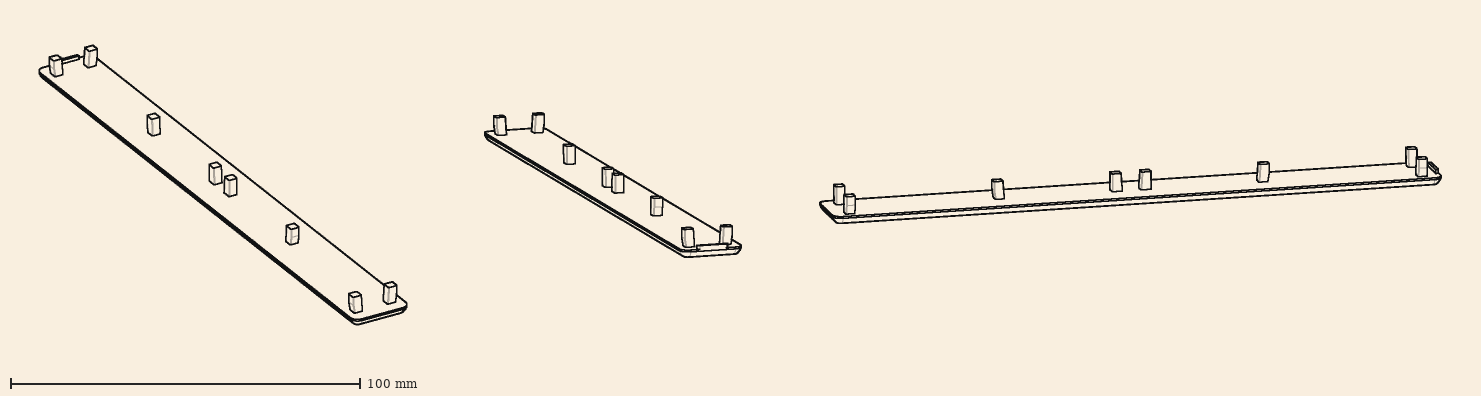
import cadquery as cq

length = 180.0
width = 18.5
plate_height = 2.3
corner_radius = 2.5
rim_height = 0.5
edge_inset = 1.3
edge_bulge = 0.16

total_height = 7.5
post_width = 2.7
hooked_base_depth = 2.7
plain_base_depth = 3.0
inner_draft = 0.4
hook_overhang = 0.45
hook_height = 5.0
post_edge_radius = 0.22
corner_post_x = 84.6
corner_post_y = 6.8
middle_post_x = 40.3
center_post_x = 5.8

tab_length = 9.2
tab_thickness = 0.9
tab_top = 3.5
tab_end_radius = 0.5


def make_edge_path():
    """Rounded rectangle around the plate at Z = 0, starting at the middle of the -Y side."""
    half_x = length / 2
    half_y = width / 2
    straight_x = half_x - corner_radius
    straight_y = half_y - corner_radius
    return (
        cq.Workplane("XY").moveTo(0, -half_y)
        .lineTo(straight_x, -half_y)
        .radiusArc((half_x, -straight_y), -corner_radius)
        .lineTo(half_x, straight_y)
        .radiusArc((straight_x, half_y), -corner_radius)
        .lineTo(-straight_x, half_y)
        .radiusArc((-half_x, straight_y), -corner_radius)
        .lineTo(-half_x, -straight_y)
        .radiusArc((-straight_x, -half_y), -corner_radius)
        .close()
    )


def make_plate():
    """Rounded rectangular plate whose lower edge curves inward below a narrow upright rim."""
    plate = make_edge_path().extrude(plate_height)
    rim_bottom = plate_height - rim_height
    side = -width / 2
    cutter = (
        cq.Workplane("YZ").moveTo(side, rim_bottom)
        .sagittaArc((side + edge_inset, 0), -edge_bulge)
        .lineTo(side, 0)
        .close()
        .sweep(make_edge_path())
    )
    return plate.cut(cutter)


def make_post(overhang, base_depth):
    """Post facing +X: outer foot at X = 0, outer side leaning out to the hook, inner side drafted."""
    profile = cq.Workplane("XZ").moveTo(0, plate_height)
    if overhang > 0:
        profile = profile.lineTo(overhang, hook_height)
    post = (
        profile.lineTo(overhang, total_height)
        .lineTo(inner_draft - base_depth, total_height)
        .lineTo(-base_depth, plate_height)
        .close()
        .extrude(post_width / 2, both=True)
    )
    upright_edges = post.edges("not(#Z or |Y)")
    return upright_edges.fillet(post_edge_radius)


def place(post, angle, x, y):
    """Turn the post about Z and move its outer foot to (x, y)."""
    return post.rotate((0, 0, 0), (0, 0, 1), angle).translate((x, y, 0))


def make_tab():
    """Low upright tab, flush with the -X end of the plate and rounded at its outer corners."""
    tab = cq.Workplane("XY", origin=(-length / 2, 0, plate_height)).box(
        tab_thickness, tab_length, tab_top - plate_height, centered=(False, True, False)
    )
    return tab.edges("|Z and <X").fillet(tab_end_radius)


hooked_post = make_post(hook_overhang, hooked_base_depth)
plain_post = make_post(0, plain_base_depth)

result = make_plate().union(make_tab())

for side in (-1, 1):
    end_angle = 90 - 90 * side
    side_angle = 90 * side
    result = result.union(place(hooked_post, end_angle, side * middle_post_x, 0))
    result = result.union(place(plain_post, end_angle, side * center_post_x, 0))
    for end in (-1, 1):
        result = result.union(place(hooked_post, side_angle, end * corner_post_x, side * corner_post_y))